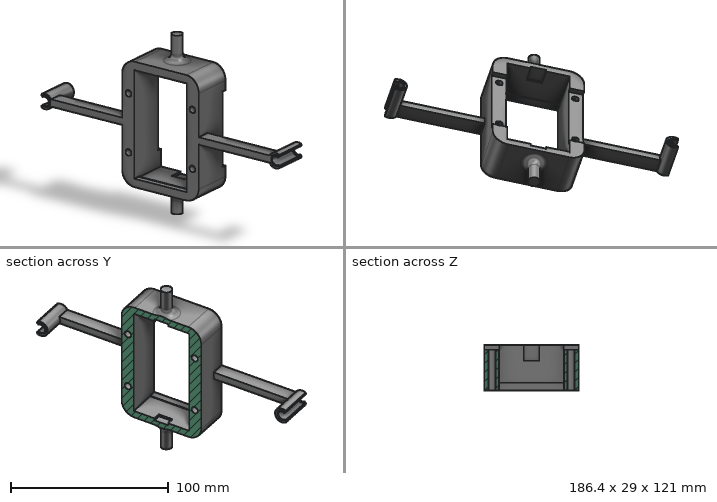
import cadquery as cq
import math

frame_width = 60.0
frame_height = 85.0
frame_depth = 29.0
corner_radius = 10.0
opening_width = 41.0
opening_height = 73.5

back_notch_height = 51.0
back_notch_depth = 3.0

lip_depth = 5.0
lip_step = 0.5

pocket_width = 10.0
pocket_start = 19.0
pocket_depth = 1.5

hole_diameter = 4.4
hole_spacing_x = 50.0
hole_spacing_z = 40.0

pin_diameter = 7.5
pin_length = 18.0
pin_fillet = 5.0
pin_y = 18.0
pin_embed = 1.0

overall_width = 186.38
arm_thickness = 5.0
arm_depth = 9.5
clip_depth = 24.0
clip_outer_radius = 5.3
clip_bore_radius = 3.9
clip_lip_radius = 3.1
clip_lip_thickness = 0.5

jaw_outer_angle = 60.0
jaw_lip_angle = 55.0
jaw_nose_x = 2.9
jaw_nose_z = 3.65

clip_x = overall_width / 2 - jaw_nose_x


def block(width, y_start, depth, height):
    """Box centred on X and Z that runs backward from y_start."""
    box = cq.Workplane("XY").box(width, depth, height, centered=(True, False, True))
    return box.translate((0, y_start, 0))


def make_frame():
    frame = block(frame_width, 0, frame_depth, frame_height).edges("|Y").fillet(corner_radius)

    rear_height = opening_height + 2 * lip_step
    pocket_height = rear_height + 2 * pocket_depth
    frame = frame.cut(block(opening_width, 0, frame_depth, opening_height))
    frame = frame.cut(block(opening_width, lip_depth, frame_depth - lip_depth, rear_height))
    frame = frame.cut(block(pocket_width, pocket_start, frame_depth - pocket_start, pocket_height))

    notch_start = frame_depth - back_notch_depth
    frame = frame.cut(block(frame_width, notch_start, back_notch_depth, back_notch_height))

    holes = (
        cq.Workplane("XZ")
        .rarray(hole_spacing_x, hole_spacing_z, 2, 2)
        .circle(hole_diameter / 2)
        .extrude(-frame_depth)
    )
    return frame.cut(holes)


def make_pin():
    """Top pin with its flared foot, revolved about its own axis."""
    radius = pin_diameter / 2
    flare_radius = radius + pin_fillet
    foot = frame_height / 2
    root = foot - pin_embed
    tip = foot + pin_length
    flare = pin_fillet * (1 - math.sqrt(0.5))
    return (
        cq.Workplane("XZ", origin=(0, pin_y, 0))
        .moveTo(0, root)
        .lineTo(flare_radius, root)
        .lineTo(flare_radius, foot)
        .threePointArc((radius + flare, foot + flare), (radius, foot + pin_fillet))
        .lineTo(radius, tip)
        .lineTo(0, tip)
        .close()
        .revolve(360, (0, 0, 0), (0, 1, 0))
    )


def polar(radius, degrees):
    """Point at a radius and angle from the clip axis, in the XZ plane."""
    angle = math.radians(degrees)
    return radius * math.cos(angle), radius * math.sin(angle)


def make_clip():
    """C-shaped clip opening outward; its bore is narrowed by a thin lip at each end."""
    outer_x, outer_z = polar(clip_outer_radius, jaw_outer_angle)
    lip_x, lip_z = polar(clip_lip_radius, jaw_lip_angle)
    axis_plane = cq.Workplane("XZ", origin=(clip_x, 0, 0))
    clip = (
        axis_plane.moveTo(outer_x, outer_z)
        .threePointArc((-clip_outer_radius, 0), (outer_x, -outer_z))
        .lineTo(jaw_nose_x, -jaw_nose_z)
        .lineTo(lip_x, -lip_z)
        .threePointArc((-clip_lip_radius, 0), (lip_x, lip_z))
        .lineTo(jaw_nose_x, jaw_nose_z)
        .close()
        .extrude(-clip_depth)
    )
    bore_length = clip_depth - 2 * clip_lip_thickness
    bore = axis_plane.circle(clip_bore_radius).extrude(-bore_length).translate((0, clip_lip_thickness, 0))
    return clip.cut(bore)


def make_arm():
    """Right-hand arm with its clip; the arm overlaps the frame and the clip wall."""
    arm_start = (frame_width + opening_width) / 4
    arm_end = clip_x - (clip_outer_radius + clip_bore_radius) / 2
    arm = (
        cq.Workplane("XY")
        .box(arm_end - arm_start, arm_depth, arm_thickness, centered=(False, False, True))
        .translate((arm_start, 0, 0))
    )
    return arm.union(make_clip())


result = make_frame()
pin = make_pin()
arm = make_arm()
result = result.union(pin).union(pin.mirror("XY")).union(arm).union(arm.mirror("YZ"))